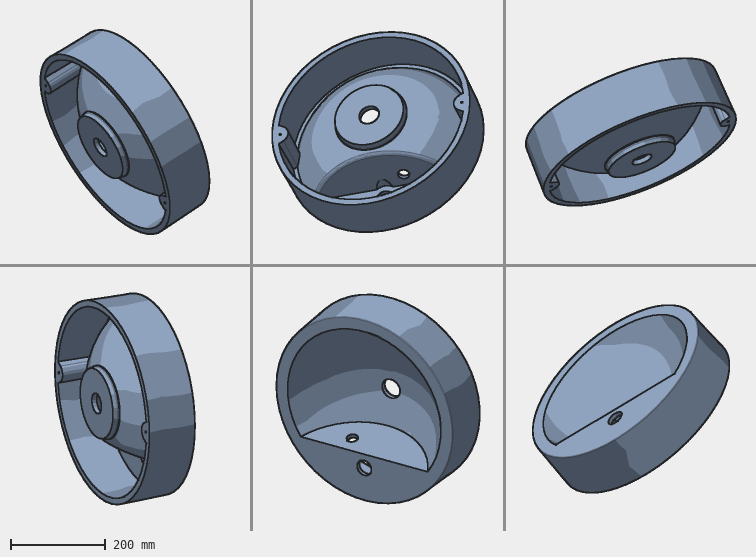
import cadquery as cq
import math

rim_radius = 218.0
deck_radius = 215.3
skirt_depth = 110.0
total_depth = 123.0
deck_thickness = 10.0
edge_round = 1.5
skirt_inner_radius = 204.5
skirt_root_radius = 202.0

wall = deck_thickness
bowl_radius = 193.0
boss_root_depth = 108.0
boss_root_radius = 79.0
flat_side_z = -113.0
flat_side_tilt = 14.0
flat_edge_round = 11.0

drain_radius = 22.0
boss_shoulder_radius = 77.5
boss_shoulder_depth = 113.5
boss_face_radius = 75.5

tap_z = -137.5
tap_radius = 17.5
tap_seat_radius = 31.0
overflow_x = 50.0
overflow_z = -106.0
overflow_radius = 12.0

post_x = 203.0
post_radius = 21.0
post_flare_angle = 60.0
post_outer_x = 211.0
screw_x = 200.0
screw_radius = 1.7
screw_depth = 43.5

tilt_slope = math.tan(math.radians(flat_side_tilt))
sphere_rise = boss_root_depth - deck_thickness
boss_drop = (bowl_radius**2 - boss_root_radius**2 + sphere_rise**2) / (2 * sphere_rise)
sphere_radius = math.hypot(boss_root_radius, boss_drop)
sphere_center_y = boss_drop - boss_root_depth


def revolve(profile):
    return profile.close().revolve(360, (0, 0, 0), (0, 1, 0))


def cylinder(x, z, radius, from_depth, to_depth):
    """Cylinder along Y between two depths below the deck surface."""
    sketch = cq.Workplane("XZ", origin=(x, -from_depth, z))
    return sketch.circle(radius).extrude(to_depth - from_depth)


def bowl_body(radius, top_depth, flat_shift):
    """Spherical bowl with a tilted flat side, from top_depth down to its apex."""
    drop = top_depth + sphere_center_y
    edge_r = math.sqrt(radius**2 - drop**2)
    middle_angle = math.acos(drop / radius) / 2
    middle = (
        radius * math.sin(middle_angle),
        sphere_center_y - radius * math.cos(middle_angle),
    )
    dome = revolve(
        cq.Workplane("XY")
        .moveTo(0, -top_depth)
        .lineTo(0, sphere_center_y - radius)
        .threePointArc(middle, (edge_r, -top_depth))
    )

    def flat_z(depth):
        return flat_side_z + flat_shift + (depth - deck_thickness) * tilt_slope

    keep = (
        cq.Workplane("YZ", origin=(-rim_radius, 0, 0))
        .polyline([
            (0, flat_z(0)),
            (-total_depth, flat_z(total_depth)),
            (-total_depth, rim_radius),
            (0, rim_radius),
        ])
        .close()
        .extrude(2 * rim_radius)
    )
    return dome.intersect(keep)


def skirt():
    outside = revolve(
        cq.Workplane("XY").lineTo(deck_radius, 0).lineTo(rim_radius, -skirt_depth).lineTo(0, -skirt_depth)
    )
    outside = outside.faces(">Y").edges().fillet(edge_round)
    inside = revolve(
        cq.Workplane("XY")
        .moveTo(0, -deck_thickness)
        .lineTo(skirt_root_radius, -deck_thickness)
        .lineTo(skirt_inner_radius, -skirt_depth)
        .lineTo(0, -skirt_depth)
    )
    return outside.cut(inside)


def bowl_outside():
    bowl = bowl_body(sphere_radius, deck_thickness, 0)
    flat_edge = cq.selectors.BoxSelector(
        (-4.5, -total_depth, flat_side_z), (4.5, -boss_root_depth / 2, -boss_root_radius)
    )
    return bowl.edges(flat_edge).fillet(flat_edge_round)


def drain_boss():
    return revolve(
        cq.Workplane("XY")
        .moveTo(0, -boss_root_depth)
        .lineTo(boss_root_radius, -boss_root_depth)
        .lineTo(boss_root_radius, -skirt_depth)
        .lineTo(boss_shoulder_radius, -boss_shoulder_depth)
        .lineTo(boss_face_radius, -total_depth)
        .lineTo(0, -total_depth)
    )


def screw_post(side):
    """Rounded post whose straight flanks run tangentially into the skirt."""
    angle = math.radians(post_flare_angle)
    tangent_x = post_x - post_radius * math.cos(angle)
    tangent_z = post_radius * math.sin(angle)
    outer_z = tangent_z + (post_outer_x - tangent_x) / math.tan(angle)
    return (
        cq.Workplane("XZ", origin=(0, -deck_thickness / 2, 0))
        .moveTo(side * post_outer_x, outer_z)
        .lineTo(side * tangent_x, tangent_z)
        .threePointArc((side * (post_x - post_radius), 0), (side * tangent_x, -tangent_z))
        .lineTo(side * post_outer_x, -outer_z)
        .close()
        .extrude(skirt_depth - deck_thickness / 2)
    )


def overflow_hole():
    """Hole square to the tilted flat side, passing through its wall only."""
    tilt = math.radians(flat_side_tilt)
    depth = deck_thickness + (overflow_z - flat_side_z) / tilt_slope
    inward = cq.Vector(0, math.sin(tilt), math.cos(tilt))
    start = cq.Vector(overflow_x, -depth, overflow_z) - inward * wall
    return cq.Workplane(cq.Solid.makeCylinder(overflow_radius, 3 * wall, start, inward))


result = skirt().union(bowl_outside()).union(drain_boss())
for side in (-1, 1):
    result = result.union(screw_post(side))
    result = result.cut(cylinder(side * screw_x, 0, screw_radius, skirt_depth - screw_depth, skirt_depth))

flat_wall_shift = wall / math.cos(math.radians(flat_side_tilt))
result = result.cut(bowl_body(sphere_radius - wall, 0, flat_wall_shift))
result = result.cut(cylinder(0, 0, drain_radius, 0, total_depth))
result = result.cut(cylinder(0, tap_z, tap_radius, 0, deck_thickness))
result = result.cut(cylinder(0, tap_z, tap_seat_radius, deck_thickness, skirt_depth))
result = result.cut(overflow_hole())